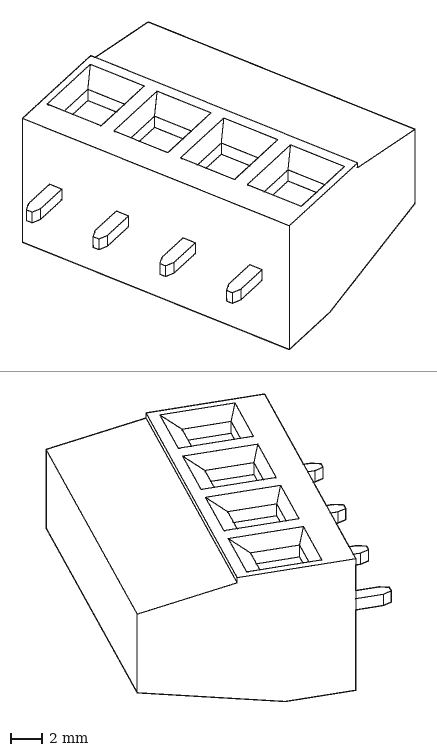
import cadquery as cq

pole_count = 4
pitch = 5.08
body_length = pole_count * pitch
body_depth = 14.49
body_height = 9.92

flat_bottom_depth = 4.67
flat_top_depth = 7.86
step_drop = 0.39
back_bottom_height = 2.44
back_top_height = 8.37

mouth_width = 4.1
mouth_front = 2.11
mouth_back = 7.1
well_width = 2.8
well_front = 2.56
well_back = 5.81
taper_depth = 0.91
well_depth = 0.9

pin_width = 0.93
pin_thickness = 0.85
pin_length = 3.05
pin_tip_width = 0.45
pin_tip_length = 0.6
pin_height = 5.1
pin_embed = 0.2


def make_body():
    profile = [
        (0, 0),
        (flat_bottom_depth, 0),
        (body_depth, back_bottom_height),
        (body_depth, back_top_height),
        (flat_top_depth, body_height - step_drop),
        (flat_top_depth, body_height),
        (0, body_height),
    ]
    return cq.Workplane("YZ").polyline(profile).close().extrude(body_length)


def make_funnel(center_x):
    mouth_center = (mouth_front + mouth_back) / 2
    well_center = (well_front + well_back) / 2
    well_length = well_back - well_front
    taper = (
        cq.Workplane("XY", origin=(center_x, mouth_center, body_height))
        .rect(mouth_width, mouth_back - mouth_front)
        .workplane(offset=-taper_depth)
        .center(0, well_center - mouth_center)
        .rect(well_width, well_length)
        .loft(ruled=True)
    )
    well = (
        cq.Workplane("XY", origin=(center_x, well_center, body_height - taper_depth))
        .rect(well_width, well_length)
        .extrude(-well_depth)
    )
    return taper.union(well)


def make_pin(center_x):
    half_width = pin_width / 2
    half_tip = pin_tip_width / 2
    taper_start = pin_tip_length - pin_length
    outline = [
        (-half_width, pin_embed),
        (-half_width, taper_start),
        (-half_tip, -pin_length),
        (half_tip, -pin_length),
        (half_width, taper_start),
        (half_width, pin_embed),
    ]
    return (
        cq.Workplane("XY", origin=(center_x, 0, pin_height))
        .polyline(outline)
        .close()
        .extrude(pin_thickness / 2, both=True)
    )


result = make_body()
for pole in range(pole_count):
    pole_x = (pole + 0.5) * pitch
    result = result.cut(make_funnel(pole_x)).union(make_pin(pole_x))